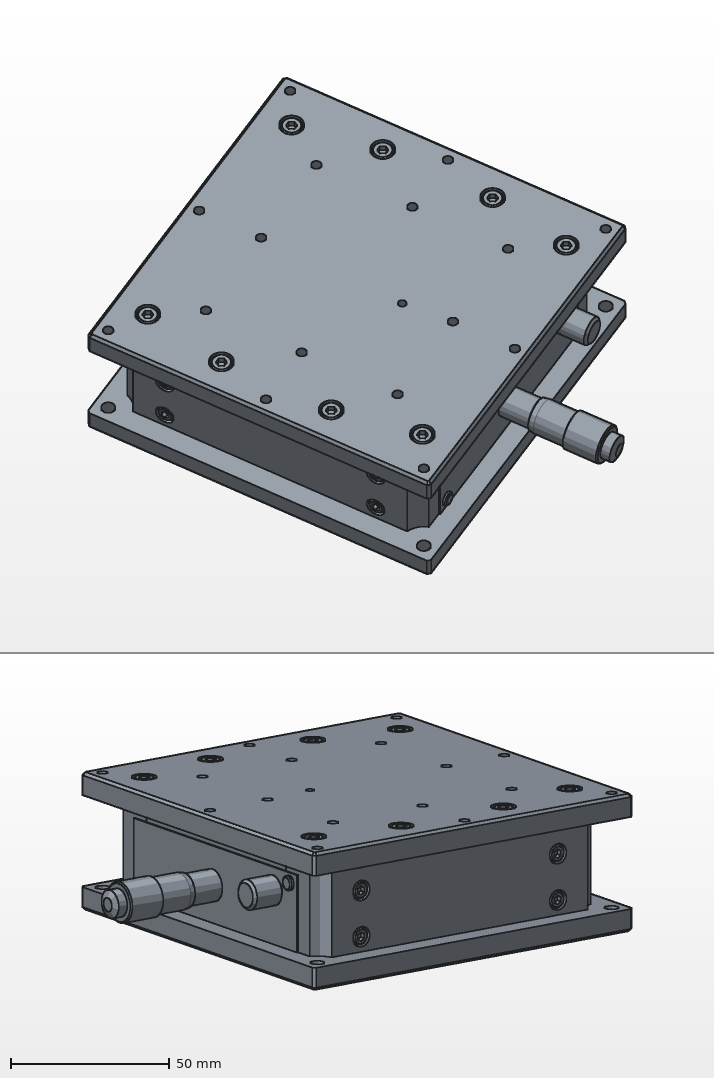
import cadquery as cq
import math

overall_length = 159.0
plate_side = 125.0
plate_thickness = 7.5
total_height = 45.0
plate_chamfer = 1.0
top_plate_bottom = total_height - plate_thickness

core_half = 55.0
corner_relief_radius = 8.0
channel_half_width = 37.5
slide_gap = 0.3

corner_pitch = 57.5
grid_pitch = 35.0
table_hole_diameter = 3.3
base_hole_diameter = 4.5
access_hole_diameter = 2.7
access_hole_x = 17.3

table_screw = {"pocket": 8.0, "head": 7.0, "hexagon": 3.0, "depth": 4.1}
rail_screw = {"pocket": 6.5, "head": 5.5, "hexagon": 2.5, "depth": 3.5}
head_recess = 0.2
head_chamfer = 0.5
socket_depth = 1.9
table_screw_places = [(20.0, 51.0), (50.0, 45.5)]
rail_screw_x = 38.5
rail_screw_heights = [5.0, 20.0]

ramp_start_x = 34.7
ramp_pocket_depth = 1.6
ramp_angle = 17

bracket_thickness = 0.5
bracket_half_width = 43.7
bracket_top = 32.7
bracket_face = core_half + bracket_thickness
bracket_screws = [(39.7, 29.4), (-39.7, 11.5)]
bracket_screw_radius = 2.4
bracket_screw_height = 1.3
bracket_screw_chamfer = 0.5
knob_y = 32.7
knob_z = 25.8
knob_radius = 5.0
knob_start = 56.9
knob_end = 67.5
knob_chamfer = 1.0
knob_shank_radius = 3.2

micrometer_y = -1.5
micrometer_z = 19.9
sleeve_radius = 5.2
sleeve_end = 66.5
taper_start_radius = 5.7
thimble_radius = 6.0
thimble_start = 68.5
grip_radius = 6.7
grip_start = 79.6
grip_end = 92.2
grip_chamfer = 0.5
ratchet_radius = 4.6
ratchet_chamfer_start = 95.5
ratchet_tip_radius = 2.2
micrometer_tip = overall_length - plate_side / 2


def four_quadrants(x, y):
    return [(sx * x, sy * y) for sx in (1, -1) for sy in (1, -1)]


def box(x_range, y_range, z_range):
    lows, highs = zip(x_range, y_range, z_range)
    sizes = [high - low for low, high in zip(lows, highs)]
    return cq.Workplane("XY").box(*sizes, centered=False).translate(lows)


def plate(bottom, chamfered_side):
    """Square plate with chamfered corners and one chamfered rim."""
    return (
        cq.Workplane("XY", origin=(0, 0, bottom))
        .rect(plate_side, plate_side)
        .extrude(plate_thickness)
        .edges("|Z")
        .chamfer(plate_chamfer)
        .faces(chamfered_side)
        .chamfer(plate_chamfer)
    )


def rod(start, end, radius, y, z):
    """Cylinder along X."""
    return cq.Workplane("YZ", origin=(start, y, z)).circle(radius).extrude(end - start)


def fit_screw(body, screw, plane):
    """Sink a socket head screw into the body, at the plane's origin and against its normal."""
    surface = cq.Workplane(plane)
    pocket = surface.circle(screw["pocket"] / 2).extrude(-screw["depth"])
    head = (
        surface.workplane(offset=-screw["depth"])
        .circle(screw["head"] / 2)
        .extrude(screw["depth"] - head_recess)
        .faces(cq.selectors.DirectionMinMaxSelector(plane.zDir))
        .edges()
        .chamfer(head_chamfer)
    )
    corner_diameter = screw["hexagon"] / math.cos(math.pi / 6)
    socket = (
        surface.transformed(rotate=(0, 0, 90))
        .polygon(6, corner_diameter)
        .extrude(-head_recess - socket_depth)
    )
    return body.cut(pocket).union(head.cut(socket))


def make_rails():
    """Two rails: a square core with relieved corners, split by the guide channel."""
    height = top_plate_bottom - plate_thickness
    core = box((-core_half, core_half), (-core_half, core_half), (plate_thickness, top_plate_bottom))
    reliefs = (
        cq.Workplane("XY", origin=(0, 0, plate_thickness))
        .pushPoints(four_quadrants(corner_pitch, corner_pitch))
        .circle(corner_relief_radius)
        .extrude(height)
    )
    channel = box(
        (-core_half, core_half),
        (-channel_half_width, channel_half_width),
        (plate_thickness, top_plate_bottom),
    )
    return core.cut(reliefs).cut(channel)


def make_table():
    """Top plate with its holes, its two rails and the screws that hold them."""
    corner_holes = four_quadrants(corner_pitch, corner_pitch)
    grid_holes = four_quadrants(grid_pitch, grid_pitch)
    axis_holes = [(s * corner_pitch, 0) for s in (1, -1)] + [(0, s * corner_pitch) for s in (1, -1)]
    axis_holes += [(s * grid_pitch, 0) for s in (1, -1)] + [(0, s * grid_pitch) for s in (1, -1)]
    holes = (
        cq.Workplane("XY", origin=(0, 0, top_plate_bottom))
        .pushPoints(corner_holes + grid_holes + axis_holes)
        .circle(table_hole_diameter / 2)
        .extrude(plate_thickness)
    )
    access_hole = (
        cq.Workplane("XY", origin=(access_hole_x, micrometer_y, top_plate_bottom))
        .circle(access_hole_diameter / 2)
        .extrude(plate_thickness)
    )
    table = plate(top_plate_bottom, ">Z").cut(holes).cut(access_hole).union(make_rails())
    for place in table_screw_places:
        for x, y in four_quadrants(*place):
            table = fit_screw(table, table_screw, cq.Plane((x, y, total_height), (1, 0, 0), (0, 0, 1)))
    for height in rail_screw_heights:
        for x, y in four_quadrants(rail_screw_x, core_half):
            outward = (0, math.copysign(1, y), 0)
            origin = (x, y, plate_thickness + height)
            table = fit_screw(table, rail_screw, cq.Plane(origin, (1, 0, 0), outward))
    return table


def make_ramp_pocket(block_top):
    """Blind hole below a mounting hole, whose floor rises toward +X."""
    floor = block_top - ramp_pocket_depth
    hole_end = grid_pitch + table_hole_diameter / 2
    hole = (
        cq.Workplane("XY", origin=(grid_pitch, 0, floor))
        .circle(table_hole_diameter / 2)
        .extrude(ramp_pocket_depth)
    )
    rise = (hole_end - ramp_start_x) * math.tan(math.radians(ramp_angle))
    ramp = (
        cq.Workplane("XZ")
        .polyline([(ramp_start_x, floor), (hole_end, floor), (hole_end, floor + rise)])
        .close()
        .extrude(table_hole_diameter / 2, both=True)
    )
    return hole.cut(ramp)


def make_lock_knob():
    shank = rod(bracket_face, knob_start, knob_shank_radius, knob_y, knob_z)
    knob = rod(knob_start, knob_end, knob_radius, knob_y, knob_z).faces(">X").chamfer(knob_chamfer)
    return shank.union(knob)


def make_base():
    """Base plate with its guide block, micrometer bracket and lock knob."""
    block_top = top_plate_bottom - slide_gap
    block_half_width = channel_half_width - slide_gap
    holes = (
        cq.Workplane("XY")
        .pushPoints(four_quadrants(corner_pitch, corner_pitch))
        .circle(base_hole_diameter / 2)
        .extrude(plate_thickness)
    )
    block = box(
        (-core_half, core_half),
        (-block_half_width, block_half_width),
        (plate_thickness, block_top),
    )
    block = block.cut(make_ramp_pocket(block_top))
    bracket = box(
        (core_half, bracket_face),
        (-bracket_half_width, bracket_half_width),
        (plate_thickness, bracket_top),
    )
    base = plate(0, "<Z").cut(holes).union(block).union(bracket).union(make_lock_knob())
    for y, z in bracket_screws:
        head = rod(bracket_face, bracket_face + bracket_screw_height, bracket_screw_radius, y, z)
        base = base.union(head.faces(">X").chamfer(bracket_screw_chamfer))
    return base


def make_micrometer():
    """Turned body along X, standing on the bracket."""
    profile = [
        (bracket_face, 0),
        (bracket_face, sleeve_radius),
        (sleeve_end, sleeve_radius),
        (sleeve_end, taper_start_radius),
        (thimble_start, thimble_radius),
        (grip_start, thimble_radius),
        (grip_start, grip_radius),
        (grip_end - grip_chamfer, grip_radius),
        (grip_end, grip_radius - grip_chamfer),
        (grip_end, ratchet_radius),
        (ratchet_chamfer_start, ratchet_radius),
        (micrometer_tip, ratchet_tip_radius),
        (micrometer_tip, 0),
    ]
    return (
        cq.Workplane("XY", origin=(0, micrometer_y, micrometer_z))
        .polyline(profile)
        .close()
        .revolve(360, (0, 0, 0), (1, 0, 0))
    )


table = make_table()
base = make_base()
micrometer = make_micrometer()

result = cq.Compound.makeCompound([table.val(), base.val(), micrometer.val()])